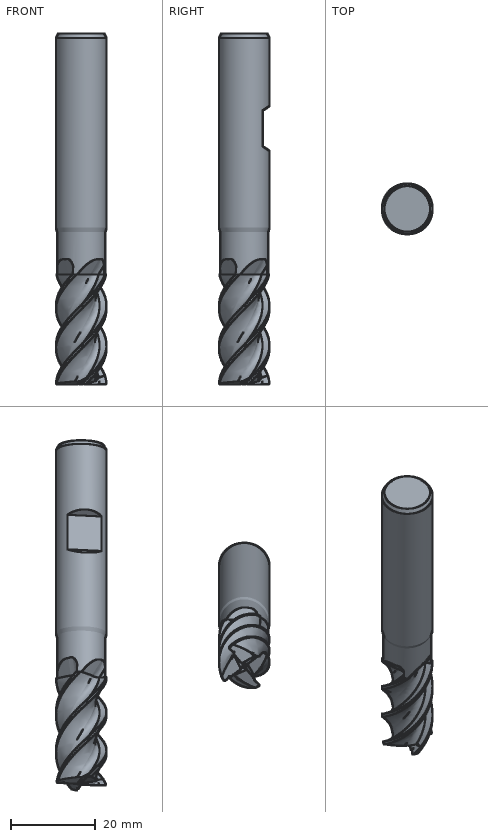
import cadquery as cq
import math


total_length = 83.0
shank_radius = 12.0 / 2
cutter_radius = 6.0
neck_radius = 5.7
cutter_length = 26.0
neck_top = 36.0
neck_taper_height = 1.0
end_face_radius = 5.4
end_chamfer_height = 1.1

flat_middle_height = 60.5
flat_floor_distance = 4.4
flat_floor_length = 8.5
flat_mouth_length = 10.6

flute_count = 4
tooth_step = 360.0 / flute_count
land_angle = 9.5
back_radius = 4.4
back_angle = 28.0
heel_radius = 3.6
heel_angle = 58.0
floor_radius = 3.4
floor_angle = 74.0
rake_base_radius = 4.3
rake_base_angle = tooth_step + 2.0

helix_angle = 45.0
helix_pitch = 2 * math.pi * cutter_radius / math.tan(math.radians(helix_angle))
cutter_twist = 360.0 * cutter_length / helix_pitch

runout_height = 3.6
runout_angle = 88.0

corner_chamfer = 0.25
end_relief_angle = 13.0
gash_core_depth = 0.75
gash_slope = 0.24
gash_lean_angle = 43.0
gash_back_angle = 66.0

clear_radius = 2 * shank_radius
clear_depth = 0.8
runout_overshoot = 1.5


def polar(radius, angle):
    """Point on the XY plane at a radius and an angle in degrees."""
    return (radius * math.cos(math.radians(angle)), radius * math.sin(math.radians(angle)))


def around_axis(shape, angle):
    """Shape turned about the tool axis by an angle in degrees."""
    return shape.rotate((0, 0, 0), (0, 0, 1), angle)


def add_flute_curve(outline, turn):
    """Continue an outline from the end of a land, over the tooth back and flute floor, to the rake base."""
    back = polar(back_radius, turn + back_angle)
    heel = polar(heel_radius, turn + heel_angle)
    flute_floor = polar(floor_radius, turn + floor_angle)
    rake_base = polar(rake_base_radius, turn + rake_base_angle)
    return outline.threePointArc(back, heel).threePointArc(flute_floor, rake_base)


def tooth_outline():
    """Cross section of the fluted cutter at the tip, with one cutting edge on +X."""
    outline = cq.Workplane("XY").moveTo(*polar(cutter_radius, 0))
    for tooth in range(flute_count):
        turn = tooth * tooth_step
        outline = outline.threePointArc(
            polar(cutter_radius, turn + land_angle / 2), polar(cutter_radius, turn + land_angle)
        )
        outline = add_flute_curve(outline, turn)
        if tooth < flute_count - 1:
            outline = outline.lineTo(*polar(cutter_radius, turn + tooth_step))
    return outline.close()


def end_relief():
    """Wedge below one end tooth, rising behind its radial end edge on +X."""
    rise = clear_radius * math.tan(math.radians(end_relief_angle))
    return (
        cq.Workplane("YZ")
        .polyline([(0, 0), (clear_radius, rise), (clear_radius, -clear_depth), (0, -clear_depth)])
        .close()
        .extrude(clear_radius)
    )


def gash():
    """Triangular notch in front of the end edge on +X; its ridge rises outward from the axis."""
    sections = []
    for radius in (0, clear_radius):
        depth = gash_core_depth + gash_slope * radius
        ridge = depth * math.tan(math.radians(gash_lean_angle))
        back = ridge - depth * math.tan(math.radians(gash_back_angle))
        corners = [(radius, 0, 0), (radius, ridge, depth), (radius, back, 0)]
        sections.append(cq.Wire.makePolygon([cq.Vector(*corner) for corner in corners], close=True))
    return cq.Workplane(cq.Solid.makeLoft(sections, True))


def make_cutter():
    """Twisted four-tooth bar with a chamfered corner, end reliefs and gashes."""
    envelope = cq.Workplane("XY").circle(cutter_radius).extrude(cutter_length)
    envelope = envelope.faces("<Z").chamfer(corner_chamfer)
    cutter = tooth_outline().twistExtrude(cutter_length, cutter_twist).intersect(envelope)
    for tooth in range(flute_count):
        for tip_cut in (end_relief(), gash()):
            cutter = cutter.cut(around_axis(tip_cut, tooth * tooth_step))
    return cutter


def flute_runout():
    """Space of one flute, slanting straight up and out of the neck from the top of the cutter."""
    flute = cq.Workplane("XY").moveTo(*polar(cutter_radius, land_angle))
    flute = (
        add_flute_curve(flute, 0)
        .lineTo(*polar(cutter_radius, tooth_step))
        .lineTo(*polar(clear_radius, tooth_step))
        .lineTo(*polar(clear_radius, land_angle))
        .close()
    )
    shift = cq.Vector(*polar(neck_radius - floor_radius, runout_angle), runout_height)
    runout = cq.Workplane(cq.Solid.extrudeLinear(flute.wires().val(), [], shift * runout_overshoot))
    return around_axis(runout, cutter_twist).translate((0, 0, cutter_length))


def clamping_flat():
    """Notch with a flat floor and sloping ends across the +Y side of the shank."""
    half_floor = flat_floor_length / 2
    half_mouth = flat_mouth_length / 2
    return (
        cq.Workplane("YZ")
        .polyline([
            (flat_floor_distance, flat_middle_height - half_floor),
            (shank_radius, flat_middle_height - half_mouth),
            (shank_radius, flat_middle_height + half_mouth),
            (flat_floor_distance, flat_middle_height + half_floor),
        ])
        .close()
        .extrude(clear_radius, both=True)
    )


def make_shank():
    """Neck and shank turned about the axis, with the flute run-outs and the clamping flat cut in."""
    profile = [
        (0, cutter_length),
        (neck_radius, cutter_length),
        (neck_radius, neck_top),
        (shank_radius, neck_top + neck_taper_height),
        (shank_radius, total_length - end_chamfer_height),
        (end_face_radius, total_length),
        (0, total_length),
    ]
    shank = cq.Workplane("YZ").polyline(profile).close().revolve(360, (0, 0), (0, 1))
    for tooth in range(flute_count):
        shank = shank.cut(around_axis(flute_runout(), tooth * tooth_step))
    return shank.cut(clamping_flat())


cutter = make_cutter()
shank = make_shank()
result = cq.Compound.makeCompound([cutter.solids().val(), shank.solids().val()])